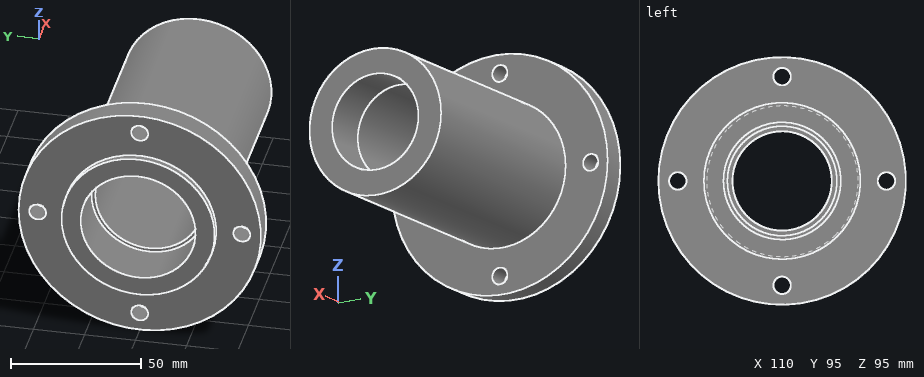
import cadquery as cq

total_length = 110.0
spigot_length = 3.0
flange_thickness = 10.0

spigot_diameter = 60.0
flange_diameter = 95.0
tube_diameter = 58.0

seat_diameter = 45.0
seat_depth = 20.0
middle_diameter = 42.0
outlet_diameter = 38.0
outlet_length = 20.0

bolt_hole_count = 4
bolt_hole_diameter = 6.6
bolt_circle_diameter = 80.0


def cylinder(diameter, start, end):
    """Solid cylinder on the X axis between two X positions."""
    disc = cq.Workplane("YZ", origin=(start, 0, 0)).circle(diameter / 2)
    return disc.extrude(end - start)


def make_body():
    """Locating spigot, flange and tube in one piece."""
    flange_end = spigot_length + flange_thickness
    spigot = cylinder(spigot_diameter, 0, spigot_length)
    flange = cylinder(flange_diameter, spigot_length, flange_end)
    tube = cylinder(tube_diameter, flange_end, total_length)
    return spigot.union(flange).union(tube)


def make_bore():
    """Three-step bore running the full length."""
    middle_end = total_length - outlet_length
    seat = cylinder(seat_diameter, 0, seat_depth)
    middle = cylinder(middle_diameter, seat_depth, middle_end)
    outlet = cylinder(outlet_diameter, middle_end, total_length)
    return seat.union(middle).union(outlet)


def make_bolt_holes():
    """Bolt holes evenly spaced on the flange, starting on the Y axis."""
    return (
        cq.Workplane("YZ", origin=(spigot_length, 0, 0))
        .polarArray(bolt_circle_diameter / 2, 0, 360, bolt_hole_count)
        .circle(bolt_hole_diameter / 2)
        .extrude(flange_thickness)
    )


result = make_body().cut(make_bore()).cut(make_bolt_holes())